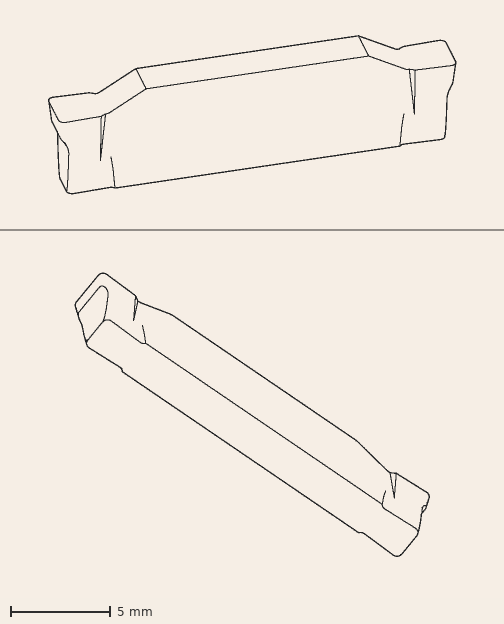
import cadquery as cq
import math

length = 20.8
height = 5.68
body_width = 1.98

head_width = 2.45
head_height = 4.53
corner_radius = 0.31
nose_setback_bottom = 0.5
side_taper_y = 0.04
side_taper_z = 0.06
widest_distance = 0.31
shoulder_start = 2.18
shoulder_end = 2.45

ramp_end = 4.58
ramp_angle = 30.0
ramp_blend_radius = 0.3

undercut_wall = 0.5
undercut_wall_top = 2.52
undercut_lip_height = 3.37

relief_radius = 0.3
relief_end_bottom = 2.7
relief_end_top = 2.58

margin = 0.62
half_length = length / 2
ramp_start = ramp_end - (height - head_height) / math.tan(math.radians(ramp_angle))


def side_half_width(distance, z):
    """Half width of the tapered head side at a distance from the tip and a height."""
    return (head_width / 2 - side_taper_y * (distance - widest_distance)
            - side_taper_z * (head_height - z))


def nose_setback(z):
    return nose_setback_bottom * (head_height - z) / head_height


def make_body():
    """Body profile from the leaning nose to mid length, with Y measured from the tip."""
    profile = [
        (nose_setback(0), 0),
        (half_length, 0),
        (half_length, height),
        (ramp_end, height),
        (ramp_start, head_height),
        (0, head_height),
    ]
    body = cq.Workplane("YZ").polyline(profile).close().extrude(body_width / 2, both=True)
    ramp_foot = cq.selectors.NearestToPointSelector((0, ramp_start, head_height))
    return body.edges(ramp_foot).fillet(ramp_blend_radius)


def make_head_blank():
    """Oversize head with shoulders that follow the side taper; the reliefs trim its width."""
    shoulder_step = side_half_width(shoulder_start, head_height) - body_width / 2
    outer = head_width / 2 + margin

    def plan(work, z):
        shoulder_x = side_half_width(shoulder_start, z)
        inner_x = shoulder_x - shoulder_step
        return work.polyline([
            (-outer, 0),
            (outer, 0),
            (outer, shoulder_start),
            (shoulder_x, shoulder_start),
            (inner_x, shoulder_end),
            (-inner_x, shoulder_end),
            (-shoulder_x, shoulder_start),
            (-outer, shoulder_start),
        ]).close()

    bottom = plan(cq.Workplane("XY"), 0)
    blank = plan(bottom.workplane(offset=head_height), head_height).loft(ruled=True)
    nose_cut = (
        cq.Workplane("YZ")
        .polyline([(0, head_height), (nose_setback(0), 0), (-margin, 0), (-margin, head_height)])
        .close()
        .extrude(head_width, both=True)
    )
    return blank.cut(nose_cut)


def make_side_relief():
    """Tool on the +X side: tapered flat side ending in a concave round."""
    def section(work, z, end):
        x_start = side_half_width(-margin, z)
        x_end = side_half_width(end, z)
        outer = x_end + relief_radius
        diagonal = relief_radius * math.sqrt(0.5)
        return (
            work.moveTo(x_start, -margin)
            .lineTo(x_end, end)
            .threePointArc((outer - diagonal, end + diagonal), (outer, end + relief_radius))
            .lineTo(outer + 2 * margin, end + relief_radius)
            .lineTo(outer + 2 * margin, -margin)
            .close()
        )

    bottom = section(cq.Workplane("XY"), 0, relief_end_bottom)
    outlines = section(bottom.workplane(offset=head_height), head_height, relief_end_top)
    return outlines.loft(ruled=True)


def make_undercut():
    """Tool below the cutting edge: vertical wall with a concave arc up to the lip."""
    lip = nose_setback(undercut_lip_height)
    return (
        cq.Workplane("YZ")
        .moveTo(undercut_wall, -margin)
        .lineTo(undercut_wall, undercut_wall_top)
        .tangentArcPoint((lip, undercut_lip_height), relative=False)
        .lineTo(-margin, undercut_lip_height)
        .lineTo(-margin, -margin)
        .close()
        .extrude(head_width, both=True)
    )


def make_half():
    relief = make_side_relief()
    half = make_body().union(make_head_blank()).cut(relief).cut(relief.mirror("YZ")).clean()
    nose_corners = half.faces("<Y").edges("not(#Z)").edges("not(|X)")
    half = nose_corners.fillet(corner_radius)
    return half.cut(make_undercut())


half = make_half().translate((0, -half_length, 0))
result = half.union(half.mirror("XZ")).clean()